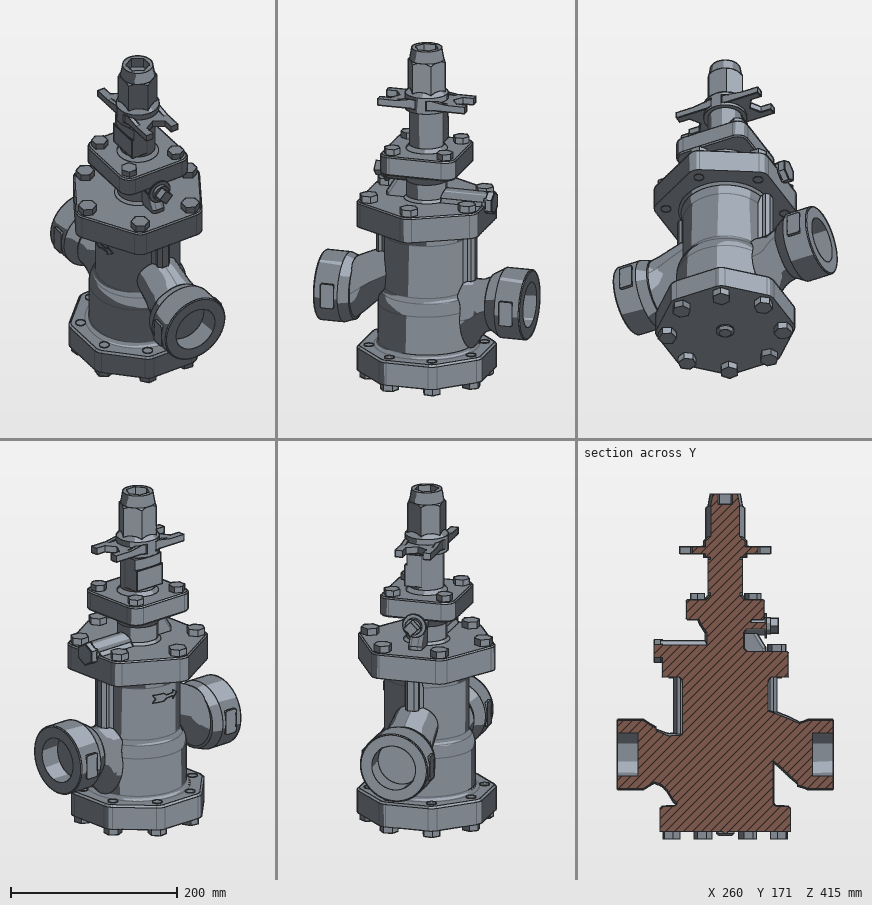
import cadquery as cq
import math

EDGE_BEVEL = 1.5
BASE_BEVEL = 2.5
OVERLAP = 2.0

LARGE_BOLT_HEAD_HEIGHT = 8.5
SMALL_BOLT_HEAD_HEIGHT = 7.5
LARGE_BOLT_FLATS = 19.0
SMALL_BOLT_FLATS = 17.0
BOLT_TIP_DIAMETER = 12.0
BOLT_TIP_HEIGHT = 1.0
LUG_RADIUS = 14.0

BASE_BOTTOM = 9.0
BASE_TOP = 40.0
BASE_BOLT_CIRCLE_RADIUS = 69.7
BASE_BOLT_COUNT = 8

COVER_BOTTOM = 194.5
COVER_TOP = 226.0
COVER_BOLT_CIRCLE_RADIUS = 71.5
COVER_BOLT_COUNT = 6

BONNET_BOTTOM = 263.5
BONNET_TOP = 288.0
BONNET_WIDTH = 94.2
BONNET_BOLT_OFFSET = 33.2

LOWER_BODY_RADIUS = 58.5
UPPER_BODY_RADIUS = 51.0
NECK_RADIUS = 24.5

PIPE_HALF_LENGTH = 130.0
PIPE_HEIGHT = 101.5
NOZZLE_DIAMETER = 85.0
NOZZLE_BORE_DIAMETER = 55.2
NOZZLE_BORE_DEPTH = 25.0

STEM_DIAMETER = 42.0
COLLAR_DIAMETER = 52.0
COLLAR_BOTTOM = 338.7
COLLAR_TOP = 358.5
CAP_CORNER_DIAMETER = 47.0
TOTAL_HEIGHT = 415.0


def corner_diameter(across_flats):
    """Corner-to-corner size of a hexagon."""
    return across_flats / math.cos(math.pi / 6)


def polar(radius, degrees):
    angle = math.radians(degrees)
    return (radius * math.cos(angle), radius * math.sin(angle))


def cylinder(radius, bottom, top, center=(0, 0)):
    return cq.Workplane("XY", origin=(*center, bottom)).circle(radius).extrude(top - bottom)


def hexagon(across_flats, bottom, top, center=(0, 0), turn=0):
    """Upright hexagonal prism; with turn = 0 it has corners on X."""
    prism = cq.Workplane("XY").polygon(6, corner_diameter(across_flats)).extrude(top - bottom)
    return prism.rotate((0, 0, 0), (0, 0, 1), turn).translate((*center, bottom))


def box(x_range, y_range, z_range):
    sizes = [high - low for low, high in (x_range, y_range, z_range)]
    corner = (x_range[0], y_range[0], z_range[0])
    return cq.Workplane("XY").box(*sizes, centered=False).translate(corner)


def merge(solids):
    total = solids[0]
    for solid in solids[1:]:
        total = total.union(solid)
    return total


def bolted_plate(side_count, bolt_circle_radius, bottom, top, first_bolt_angle, bevel):
    """Regular plate with a round lug corner around each bolt."""
    inset = math.cos(math.pi / side_count)
    corner_radius = bolt_circle_radius + LUG_RADIUS / inset
    plate = cq.Workplane("XY", origin=(0, 0, bottom)).polygon(side_count, 2 * corner_radius)
    plate = plate.extrude(top - bottom).edges("|Z").fillet(LUG_RADIUS)
    return plate.rotate((0, 0, 0), (0, 0, 1), first_bolt_angle).faces(">Z").chamfer(bevel)


def base_flange():
    pitch = 360 / BASE_BOLT_COUNT
    plate = bolted_plate(
        BASE_BOLT_COUNT, BASE_BOLT_CIRCLE_RADIUS, BASE_BOTTOM, BASE_TOP, pitch / 2, BASE_BEVEL)
    parts = [plate]
    for number in range(BASE_BOLT_COUNT):
        angle = (number + 0.5) * pitch
        center = polar(BASE_BOLT_CIRCLE_RADIUS, angle)
        parts.append(hexagon(LARGE_BOLT_FLATS, 0, BASE_BOTTOM + OVERLAP, center, turn=angle))
        tip_top = BASE_TOP + BOLT_TIP_HEIGHT
        parts.append(cylinder(BOLT_TIP_DIAMETER / 2, BASE_TOP - OVERLAP, tip_top, center))
    return merge(parts)


def drain_plug():
    bottom, tip_radius, root_radius = 4.0, 7.0, 11.0
    shoulder = 7.0
    profile = [(0, bottom), (tip_radius, bottom), (root_radius, shoulder),
               (root_radius, BASE_BOTTOM + OVERLAP), (0, BASE_BOTTOM + OVERLAP)]
    return cq.Workplane("XZ").polyline(profile).close().revolve(360, (0, 0, 0), (0, 1, 0))


def cover_flange():
    pitch = 360 / COVER_BOLT_COUNT
    plate = bolted_plate(
        COVER_BOLT_COUNT, COVER_BOLT_CIRCLE_RADIUS, COVER_BOTTOM, COVER_TOP, pitch / 2, EDGE_BEVEL)
    parts = [plate]
    for number in range(COVER_BOLT_COUNT):
        center = polar(COVER_BOLT_CIRCLE_RADIUS, (number + 0.5) * pitch)
        head_top = COVER_TOP + LARGE_BOLT_HEAD_HEIGHT
        parts.append(hexagon(LARGE_BOLT_FLATS, COVER_TOP - OVERLAP, head_top, center))
        tip_bottom = COVER_BOTTOM - BOLT_TIP_HEIGHT
        parts.append(cylinder(BOLT_TIP_DIAMETER / 2, tip_bottom, COVER_BOTTOM + OVERLAP, center))
    return merge(parts)


def bonnet_flange():
    half = BONNET_WIDTH / 2
    plate = box((-half, half), (-half, half), (BONNET_BOTTOM, BONNET_TOP))
    plate = plate.edges("|Z").fillet(LUG_RADIUS)
    parts = [plate.faces(">Z or <Z").chamfer(EDGE_BEVEL)]
    head_top = BONNET_TOP + SMALL_BOLT_HEAD_HEIGHT
    for side_x in (-1, 1):
        for side_y in (-1, 1):
            center = (side_x * BONNET_BOLT_OFFSET, side_y * BONNET_BOLT_OFFSET)
            turn = 0 if side_x == side_y else 30
            parts.append(hexagon(SMALL_BOLT_FLATS, BONNET_TOP - OVERLAP, head_top, center, turn))
    return merge(parts)


def body():
    outline = (
        cq.Workplane("XZ").moveTo(0, BASE_TOP - OVERLAP)
        .lineTo(63.5, BASE_TOP - OVERLAP)
        .lineTo(63.5, BASE_TOP)
        .threePointArc((60.0, 41.0), (LOWER_BODY_RADIUS, 44.5))
        .lineTo(LOWER_BODY_RADIUS, 92.5)
        .threePointArc((57.3, 101.0), (54.0, 107.5))
        .threePointArc((52.0, 110.5), (UPPER_BODY_RADIUS, 113.7))
        .lineTo(UPPER_BODY_RADIUS, 179.7)
        .lineTo(53.0, 191.5)
        .lineTo(56.0, COVER_BOTTOM)
        .lineTo(56.0, COVER_BOTTOM + OVERLAP)
        .lineTo(0, COVER_BOTTOM + OVERLAP)
        .close()
    )
    return outline.revolve(360, (0, 0, 0), (0, 1, 0))


def body_rib(side, bottom):
    """Upright rib on the -X or +X side of the upper body, tapered at its root and its outer edges."""
    flank = [(41.5, 18.3), (54.0, 8.5), (58.0, 8.5), (62.3, 4.0)]
    outline = flank + [(x, -y) for x, y in reversed(flank)]
    rib = cq.Workplane("XY", origin=(0, 0, bottom)).polyline(outline).close()
    rib = rib.extrude(COVER_BOTTOM + OVERLAP - bottom)
    return rib if side > 0 else rib.mirror("YZ")


def flow_arrow():
    """Raised arrow on the -Y face of the upper body, pointing to +X."""
    height, middle, tail, head = 1.0, 165.2, -19.0, 20.0
    half_band = 8.5
    upper = [(tail, 5.0), (-4.0, 5.0), (0.0, 2.0), (11.0, 2.0), (11.0, 6.0)]
    lower = [(x, -z) for x, z in reversed(upper)]
    points = upper + [(head, 0)] + lower + [(tail + 3.7, 0)]
    prism = cq.Workplane("XZ", origin=(0, 0, middle)).polyline(points).close()
    prism = prism.extrude(2 * UPPER_BODY_RADIUS)
    return prism.intersect(cylinder(UPPER_BODY_RADIUS + height, middle - half_band, middle + half_band))


def neck():
    foot_bevel, head_radius = 3.5, 33.2
    outline = [
        (0, COVER_TOP - OVERLAP), (NECK_RADIUS + foot_bevel, COVER_TOP - OVERLAP),
        (NECK_RADIUS + foot_bevel, COVER_TOP), (NECK_RADIUS, COVER_TOP + foot_bevel),
        (NECK_RADIUS, 248.2), (30.7, 257.5),
        (head_radius, BONNET_BOTTOM), (head_radius, BONNET_BOTTOM + OVERLAP), (0, BONNET_BOTTOM + OVERLAP),
    ]
    return cq.Workplane("XZ").polyline(outline).close().revolve(360, (0, 0, 0), (0, 1, 0))


def nozzle(side, shoulder, cone_end, cone_radius):
    """Round pipe end with a cone behind it and two flat pads on its flanks."""
    radius, bevel = NOZZLE_DIAMETER / 2, 1.2
    outline = [
        (cone_end, 0), (cone_end, cone_radius), (shoulder, radius), (PIPE_HALF_LENGTH - bevel, radius),
        (PIPE_HALF_LENGTH, radius - bevel), (PIPE_HALF_LENGTH, 0),
    ]
    end = cq.Workplane("XY").polyline(outline).close().revolve(360, (0, 0, 0), (1, 0, 0))
    pad_center, pad_length, pad_height, pad_rise = 112.5, 16.5, 30.5, 0.5
    pad_corner_radius = 2.0
    pads = cq.Workplane("XY").box(pad_length, 2 * (radius + pad_rise), pad_height)
    pads = pads.edges("|Y").fillet(pad_corner_radius).translate((pad_center, 0, 0))
    end = end.union(pads).translate((0, 0, PIPE_HEIGHT))
    return end if side > 0 else end.mirror("YZ")


def nozzle_bore(side):
    start = (side * PIPE_HALF_LENGTH, 0, PIPE_HEIGHT)
    bore = cq.Workplane("YZ", origin=start).circle(NOZZLE_BORE_DIAMETER / 2)
    return bore.extrude(-side * NOZZLE_BORE_DEPTH)


def lofted_pipe(sections):
    """Pipe through upright ellipses given as (x, center height, half width, half height)."""
    path = cq.Workplane("YZ")
    previous_x, previous_z = 0, 0
    for x, z, half_width, half_height in sections:
        path = path.workplane(offset=x - previous_x).center(0, z - previous_z)
        path = path.ellipse(half_width, half_height)
        previous_x, previous_z = x, z
    return path.loft(ruled=False, combine=True)


def inlet():
    cone_end, cone_radius = 83.0, 33.2
    passage = lofted_pipe([
        (-20.8, 83.0, 31.0, 45.2),
        (-57.3, 84.3, 29.0, 44.0),
        (-68.5, 91.0, 30.0, 36.5),
        (-cone_end - OVERLAP, 100.0, cone_radius, cone_radius),
    ])
    return passage.union(nozzle(-1, 98.5, cone_end, cone_radius))


def outlet():
    cone_end, cone_radius = 89.0, 38.0
    passage = lofted_pipe([
        (20.8, 140.5, 25.7, 25.7),
        (57.0, 123.5, 28.5, 31.0),
        (74.7, 112.5, 30.0, 35.5),
        (cone_end, PIPE_HEIGHT + 1.2, 35.5, cone_radius),
    ])
    return passage.union(nozzle(1, 99.5, cone_end - OVERLAP, cone_radius))


def cover_side_plug():
    """Long horizontal boss on the cover, closed by a hexagon plug at -X."""
    height, boss_radius, boss_end, head_end = 226.2, 13.0, -77.5, -86.0
    flats, root_start = 24.0, -74.0
    boss_length = 60.0
    boss = cq.Workplane("YZ", origin=(boss_end, 0, height)).circle(boss_radius).extrude(boss_length)
    flank = [(12.5, COVER_TOP + 4.0), (17.5, COVER_TOP), (17.5, COVER_TOP - OVERLAP)]
    root_outline = flank + [(-y, z) for y, z in reversed(flank)]
    root = cq.Workplane("YZ", origin=(root_start, 0, 0)).polyline(root_outline).close()
    root = root.extrude(-root_start - NECK_RADIUS + OVERLAP)
    head = hexagon(flats, head_end, boss_end + OVERLAP).faces("<Z").chamfer(EDGE_BEVEL / 2)
    head = head.rotate((0, 0, 0), (0, 1, 0), 90)
    return boss.union(root).union(head.translate((0, 0, height)))


def neck_side_plug():
    """Horizontal boss on the neck at +X with a rim, a washer, a square plug and a web below."""
    height = 256.5
    boss_radius, rim_radius, washer_radius, square_diagonal = 11.2, 14.5, 10.0, 18.3
    rim_start, rim_end, washer_end, head_end = 47.7, 50.0, 54.5, 64.0
    plane = cq.Workplane("YZ", origin=(0, 0, height))
    boss = plane.circle(boss_radius).extrude(rim_end)
    rim = plane.workplane(offset=rim_start).circle(rim_radius).extrude(rim_end - rim_start)
    washer = plane.workplane(offset=rim_start).circle(washer_radius).extrude(washer_end - rim_start)
    head = plane.workplane(offset=rim_end).polygon(4, square_diagonal).extrude(head_end - rim_end)
    web_half_width = 8.5
    web_outline = [(0, COVER_TOP - OVERLAP), (49.0, COVER_TOP - OVERLAP), (49.0, 230.5),
                   (38.5, 247.0), (0, 247.0)]
    web = cq.Workplane("XZ").polyline(web_outline).close().extrude(web_half_width, both=True)
    web = web.edges("(|Z and >X) or (not(|X or |Y or |Z))").fillet(web_half_width / 2)
    return merge([boss, rim, washer, head, web])


def stem():
    radius, flare, flare_height = STEM_DIAMETER / 2, 4.0, 5.0
    round_stem = cylinder(radius, BONNET_TOP - OVERLAP, COLLAR_BOTTOM + OVERLAP)
    foot = [(0, BONNET_TOP), (radius + flare, BONNET_TOP), (radius, BONNET_TOP + flare_height),
            (0, BONNET_TOP + flare_height)]
    foot = cq.Workplane("XZ").polyline(foot).close().revolve(360, (0, 0, 0), (0, 1, 0))
    return round_stem.union(foot)


def stem_block():
    """Block on the -Y half of the stem: flat below, with a bowed front above."""
    half_width, front, bowed_corner = STEM_DIAMETER / 2, -21.5, -18.3
    bottom, step, top = 296.5, 323.0, 336.2
    front_bevel = 1.0
    flat = box((-half_width, half_width), (front, 0), (bottom, step)).faces("<Y").chamfer(front_bevel)
    bowed = (
        cq.Workplane("XY", origin=(0, 0, step)).moveTo(-half_width, 0)
        .lineTo(-half_width, bowed_corner)
        .threePointArc((0, front), (half_width, bowed_corner))
        .lineTo(half_width, 0)
        .close().extrude(top - step)
    )
    return flat.union(bowed)


def handle():
    """Collar with a flat forked plate through it and a sloped rib along each arm."""
    plate_bottom, plate_top, half_length, half_width = 343.0, 351.5, 55.0, 22.5
    arm_inner, notch_mouth, notch_tip = 13.0, 41.5, 33.5
    center_half, rib_top, rib_end, rib_width = 6.5, 355.0, 31.5, 5.5
    plate_bevel = 1.0

    collar = cylinder(COLLAR_DIAMETER / 2, COLLAR_BOTTOM, COLLAR_TOP)
    plate = box((-half_length, half_length), (-half_width, half_width), (plate_bottom, plate_top))
    rib_outline = [(center_half, plate_bottom), (rib_end, plate_bottom), (rib_end, plate_top),
                   (center_half + rib_width, rib_top), (center_half, rib_top)]
    rib = cq.Workplane("XZ").polyline(rib_outline).close().extrude(rib_width)
    for side in (-1, 1):
        for flank in (-1, 1):
            relief_x = sorted((side * center_half, side * half_length))
            relief_y = sorted((flank * half_width, flank * half_length))
            collar = collar.cut(box(relief_x, relief_y, (plate_bottom, rib_top)))
            arm_rib = rib.translate((0, half_width if flank > 0 else rib_width - half_width, 0))
            plate = plate.union(arm_rib if side > 0 else arm_rib.mirror("YZ"))
        notch = [(side * half_length, arm_inner), (side * notch_mouth, arm_inner), (side * notch_tip, 0),
                 (side * notch_mouth, -arm_inner), (side * half_length, -arm_inner)]
        notch_prism = cq.Workplane("XY", origin=(0, 0, plate_bottom)).polyline(notch).close()
        plate = plate.cut(notch_prism.extrude(plate_top - plate_bottom))
    plate = plate.faces("<Z").chamfer(plate_bevel)
    return collar.union(plate)


def cap():
    """Hexagon cap above the collar with a tapered tip and a hexagon socket."""
    hex_top, tip_radius, taper_radius = 400.5, 18.3, 20.8
    corner_radius, collar_radius = CAP_CORNER_DIAMETER / 2, COLLAR_DIAMETER / 2
    socket_flats, socket_depth = 25.0, 12.5
    cone_rise = 5.5
    shoulder = cylinder(collar_radius, COLLAR_TOP - OVERLAP, COLLAR_TOP)
    cone = cq.Workplane("XY", origin=(0, 0, COLLAR_TOP)).circle(collar_radius)
    cone = cone.workplane(offset=cone_rise).circle(collar_radius - cone_rise).loft(combine=True)
    prism = hexagon(CAP_CORNER_DIAMETER * math.cos(math.pi / 6), COLLAR_TOP, hex_top)
    bevel = corner_radius - taper_radius
    prism = prism.intersect(cylinder(corner_radius, COLLAR_TOP, hex_top).faces(">Z").chamfer(bevel))
    tip = cq.Workplane("XY", origin=(0, 0, hex_top)).circle(taper_radius)
    tip = tip.workplane(offset=TOTAL_HEIGHT - hex_top).circle(tip_radius).loft(combine=True)
    socket = hexagon(socket_flats, TOTAL_HEIGHT - socket_depth, TOTAL_HEIGHT)
    return merge([shoulder, cone, prism, tip]).cut(socket)


result = merge([
    body(), base_flange(), drain_plug(), inlet(), outlet(),
    body_rib(-1, 116.2), body_rib(1, 137.0), flow_arrow(),
    cover_flange(), neck(), cover_side_plug(), bonnet_flange(), neck_side_plug(),
    stem(), stem_block(), handle(), cap(),
])
for end_side in (-1, 1):
    result = result.cut(nozzle_bore(end_side))